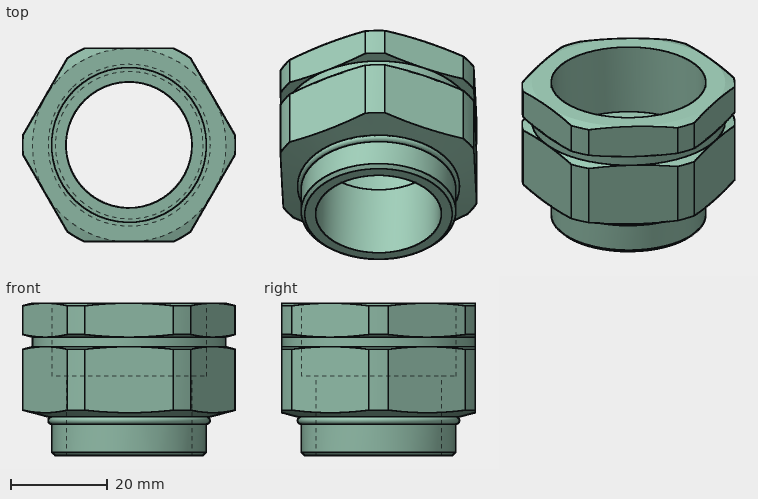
import cadquery as cq
import math

side_count = 6
across_flats = 40.0
corner_diameter = 44.0
chamfer_angle = 15.0
nut_height = 7.0
groove_height = 2.0
body_height = 14.5

spigot_diameter = 32.0
spigot_length = 8.0
spigot_chamfer = 0.75
ring_diameter = 33.5
ring_height = 1.5
ring_edge_radius = ring_height / 2

socket_diameter = 32.0
socket_depth = 15.0
through_diameter = 26.0

body_bottom = spigot_length
body_top = body_bottom + body_height
nut_bottom = body_top + groove_height
total_height = nut_bottom + nut_height

corner_radius = corner_diameter / 2
face_radius = across_flats / 2
slope = math.tan(math.radians(chamfer_angle))
corner_drop = (corner_radius - face_radius) * slope


def cylinder(diameter, height, bottom):
    return cq.Workplane("XY").workplane(offset=bottom).circle(diameter / 2).extrude(height)


def turned_hexagon(bottom, top, bottom_face_radius):
    """Hexagonal prism with turned corners and conical ends, flats facing +Y and -Y."""
    across_corners = across_flats / math.cos(math.pi / side_count)
    prism = (
        cq.Workplane("XY")
        .workplane(offset=bottom)
        .polygon(side_count, across_corners)
        .extrude(top - bottom)
    )
    bottom_rise = (corner_radius - bottom_face_radius) * slope
    envelope = (
        cq.Workplane("XZ")
        .moveTo(0, bottom)
        .lineTo(bottom_face_radius, bottom)
        .lineTo(corner_radius, bottom + bottom_rise)
        .lineTo(corner_radius, top - corner_drop)
        .lineTo(face_radius, top)
        .lineTo(0, top)
        .close()
        .revolve(360, (0, 0, 0), (0, 1, 0))
    )
    return prism.intersect(envelope)


def sealing_ring():
    """Ring under the body with a half-round outer edge."""
    bottom = body_bottom - ring_height
    edge_start = ring_diameter / 2 - ring_edge_radius
    return (
        cq.Workplane("XZ")
        .moveTo(0, bottom)
        .lineTo(edge_start, bottom)
        .threePointArc((ring_diameter / 2, bottom + ring_edge_radius), (edge_start, body_bottom))
        .lineTo(0, body_bottom)
        .close()
        .revolve(360, (0, 0, 0), (0, 1, 0))
    )


def spigot():
    return cylinder(spigot_diameter, spigot_length, 0).faces("<Z").chamfer(spigot_chamfer)


nut = turned_hexagon(nut_bottom, total_height, face_radius)
groove_core = cylinder(across_flats, groove_height, body_top)
body = turned_hexagon(body_bottom, body_top, ring_diameter / 2)
outer = nut.union(groove_core).union(body).union(sealing_ring()).union(spigot())

socket = cylinder(socket_diameter, socket_depth, total_height - socket_depth)
through_bore = cylinder(through_diameter, total_height, 0)
result = outer.cut(socket).cut(through_bore)